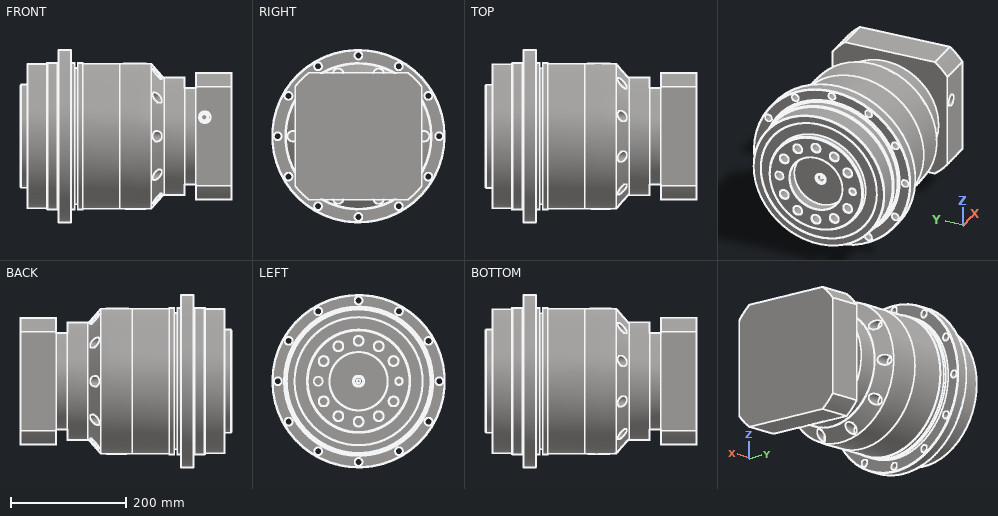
import cadquery as cq
import math

LENGTH = 367.0

OUTPUT_RADIUS = 90.0
OUTPUT_REAR_X = 44.0
OUTPUT_CHAMFER = 2.0
PILOT_RADIUS = 50.3
PILOT_DEPTH = 19.5
PILOT_CHAMFER = 0.7
BOLT_CIRCLE_RADIUS = 70.0
BOLT_COUNT = 12
BOLT_HOLE_RADIUS = 8.0
BOLT_HOLE_DEPTH = 25.7
BOLT_HOLE_CHAMFER = 0.7
PLAIN_HOLE_RADIUS = 7.7
DOWEL_HOLE_RADIUS = 6.0
CENTRE_MOUTH_RADIUS = 10.0
CENTRE_CONE_RADIUS = 7.5
CENTRE_MOUTH_HALF_ANGLE = math.radians(60)
CENTRE_CONE_HALF_ANGLE = math.radians(30)
CENTRE_DRILL_RADIUS = 3.3
CENTRE_DRILL_DEPTH = 7.5

SEAL_RADIUS = 111.0
SEAL_THICKNESS = 11.0
SEAL_SEAT_CHAMFER = 0.7

HOUSING_FRONT_X = 11.7
HOUSING_REAR_X = 173.0
PILOT_BAND_RADIUS = 125.5
HOUSING_RADIUS = 126.2
HOUSING_CHAMFER = 1.0
LAND_RADIUS = 127.5
LAND_REAR_X = 108.3
FLANGE_RADIUS = 150.0
FLANGE_FRONT_X = 65.7
FLANGE_REAR_X = 88.5
FLANGE_CHAMFER = 1.0
RELIEF_RADIUS = 130.0
RELIEF_FRONT_X = 64.0
RELIEF_DEPTH = 0.7
GROOVE_RADIUS = 118.5
GROOVE_FRONT_X = 94.5
GROOVE_REAR_X = 99.5
FLANGE_HOLE_CIRCLE_RADIUS = 140.2
FLANGE_HOLE_RADIUS = 6.5
FLANGE_HOLE_COUNT = 12

RING_FRONT_X = 45.5
RING_REAR_X = 47.7
RING_INNER_RADIUS = 121.0

CONE_FRONT_X = 227.0
CONE_REAR_X = 249.5
CONE_FRONT_RADIUS = 126.0
CONE_REAR_RADIUS = 100.5
BARREL_BULGE = 0.7
POCKET_COUNT = 10
POCKET_RADIUS = 9.0
POCKET_X = 237.8
POCKET_FLOOR_X = 220.2

COLLAR_RADIUS = 102.5
COLLAR_REAR_X = 285.0
COLLAR_CHAMFER = 0.7
NECK_RADIUS = 84.0
PLATE_FRONT_X = 305.0
PLATE_WIDTH = 220.2
PLATE_CORNER_RADIUS = 140.0
ACCESS_X = 320.5
ACCESS_Z = 33.0
ACCESS_RADIUS = 10.3
ACCESS_DEPTH = 29.5

SCREW_X = 319.3
SCREW_RADIUS = 8.0
SCREW_LENGTH = 22.0
SOCKET_RADIUS = 5.0
SOCKET_DEPTH = 7.5
SOCKET_CHAMFER = 0.7


def revolve_about_x(outline):
    """Revolve a closed outline, drawn with X along the axis and Y as radius."""
    return outline.close().revolve(360, (0, 0, 0), (1, 0, 0))


def revolve_points(points):
    return revolve_about_x(cq.Workplane("XY").polyline(points))


def cylinder_along_x(front_x, rear_x, radius, y=0.0, z=0.0):
    axis = cq.Vector(1, 0, 0)
    return cq.Workplane(cq.Solid.makeCylinder(radius, rear_x - front_x, cq.Vector(front_x, y, z), axis))


def cylinder_along_y(front_y, rear_y, radius, x, z):
    axis = cq.Vector(0, 1, 0)
    return cq.Workplane(cq.Solid.makeCylinder(radius, rear_y - front_y, cq.Vector(x, front_y, z), axis))


def on_circle(radius, count):
    """Evenly spaced (y, z) places, the first one at +Y."""
    angles = [2 * math.pi * index / count for index in range(count)]
    return [(radius * math.cos(angle), radius * math.sin(angle)) for angle in angles]


def chamfered_bore(front_x, depth, radius, chamfer, y=0.0, z=0.0):
    """Cutter for a bore along X whose mouth at front_x is widened by a 45 degree chamfer."""
    mouth = cq.Solid.makeCone(radius + chamfer, radius, chamfer, cq.Vector(front_x, y, z), cq.Vector(1, 0, 0))
    return cylinder_along_x(front_x, front_x + depth, radius, y, z).union(cq.Workplane(mouth))


def output_face_holes():
    """Threaded holes around the output face, with a plain hole at +Y and a smaller dowel hole at -Y."""
    plain_place, *places = on_circle(BOLT_CIRCLE_RADIUS, BOLT_COUNT)
    dowel_index = BOLT_COUNT // 2 - 1
    holes = [cylinder_along_x(0, BOLT_HOLE_DEPTH, PLAIN_HOLE_RADIUS, *plain_place)]
    for index, (y, z) in enumerate(places):
        radius = DOWEL_HOLE_RADIUS if index == dowel_index else BOLT_HOLE_RADIUS
        holes.append(chamfered_bore(0, BOLT_HOLE_DEPTH, radius, BOLT_HOLE_CHAMFER, y, z))
    return holes


def centre_hole():
    """Countersunk 60 degree centre with a 120 degree protective mouth and a pilot drill."""
    mouth_end = PILOT_DEPTH + (CENTRE_MOUTH_RADIUS - CENTRE_CONE_RADIUS) / math.tan(CENTRE_MOUTH_HALF_ANGLE)
    cone_end = mouth_end + (CENTRE_CONE_RADIUS - CENTRE_DRILL_RADIUS) / math.tan(CENTRE_CONE_HALF_ANGLE)
    drill_end = cone_end + CENTRE_DRILL_DEPTH
    return revolve_points(
        [
            (PILOT_DEPTH, 0),
            (PILOT_DEPTH, CENTRE_MOUTH_RADIUS),
            (mouth_end, CENTRE_CONE_RADIUS),
            (cone_end, CENTRE_DRILL_RADIUS),
            (drill_end, CENTRE_DRILL_RADIUS),
            (drill_end, 0),
        ]
    )


def make_output_flange():
    flange = cylinder_along_x(0, OUTPUT_REAR_X, OUTPUT_RADIUS).faces("<X").chamfer(OUTPUT_CHAMFER)
    flange = flange.cut(chamfered_bore(0, PILOT_DEPTH, PILOT_RADIUS, PILOT_CHAMFER)).cut(centre_hole())
    for hole in output_face_holes():
        flange = flange.cut(hole)
    return flange


def make_seal():
    rear_x = HOUSING_FRONT_X + SEAL_THICKNESS
    seal = cylinder_along_x(HOUSING_FRONT_X, rear_x, SEAL_RADIUS)
    return seal.cut(cylinder_along_x(HOUSING_FRONT_X, rear_x, OUTPUT_RADIUS))


def make_front_housing():
    relief_radius = LAND_RADIUS - RELIEF_DEPTH
    relief_rear_x = FLANGE_FRONT_X + RELIEF_DEPTH
    housing = revolve_points(
        [
            (HOUSING_FRONT_X, 0),
            (HOUSING_FRONT_X, PILOT_BAND_RADIUS - HOUSING_CHAMFER),
            (HOUSING_FRONT_X + HOUSING_CHAMFER, PILOT_BAND_RADIUS),
            (RING_FRONT_X, PILOT_BAND_RADIUS),
            (RING_FRONT_X, RING_INNER_RADIUS),
            (RING_REAR_X, RING_INNER_RADIUS),
            (RING_REAR_X, LAND_RADIUS),
            (RELIEF_FRONT_X, LAND_RADIUS),
            (RELIEF_FRONT_X, relief_radius),
            (relief_rear_x, relief_radius),
            (relief_rear_x, RELIEF_RADIUS),
            (FLANGE_FRONT_X, RELIEF_RADIUS),
            (FLANGE_FRONT_X, FLANGE_RADIUS - FLANGE_CHAMFER),
            (FLANGE_FRONT_X + FLANGE_CHAMFER, FLANGE_RADIUS),
            (FLANGE_REAR_X - FLANGE_CHAMFER, FLANGE_RADIUS),
            (FLANGE_REAR_X, FLANGE_RADIUS - FLANGE_CHAMFER),
            (FLANGE_REAR_X, LAND_RADIUS),
            (GROOVE_FRONT_X, LAND_RADIUS),
            (GROOVE_FRONT_X, GROOVE_RADIUS),
            (GROOVE_REAR_X, GROOVE_RADIUS),
            (GROOVE_REAR_X, LAND_RADIUS),
            (LAND_REAR_X, LAND_RADIUS),
            (LAND_REAR_X, HOUSING_RADIUS),
            (HOUSING_REAR_X, HOUSING_RADIUS),
            (HOUSING_REAR_X, 0),
        ]
    )
    seal_seat = chamfered_bore(HOUSING_FRONT_X, SEAL_THICKNESS, SEAL_RADIUS, SEAL_SEAT_CHAMFER)
    output_seat = cylinder_along_x(HOUSING_FRONT_X, OUTPUT_REAR_X, OUTPUT_RADIUS)
    housing = housing.cut(seal_seat).cut(output_seat)
    for y, z in on_circle(FLANGE_HOLE_CIRCLE_RADIUS, FLANGE_HOLE_COUNT):
        housing = housing.cut(cylinder_along_x(FLANGE_FRONT_X, FLANGE_REAR_X, FLANGE_HOLE_RADIUS, y, z))
    return housing


def make_o_ring():
    ring = cylinder_along_x(RING_FRONT_X, RING_REAR_X, LAND_RADIUS)
    return ring.cut(cylinder_along_x(RING_FRONT_X, RING_REAR_X, RING_INNER_RADIUS))


def make_rear_housing():
    barrel_middle = ((HOUSING_REAR_X + CONE_FRONT_X) / 2, HOUSING_RADIUS + BARREL_BULGE)
    outline = (
        cq.Workplane("XY")
        .moveTo(HOUSING_REAR_X, 0)
        .lineTo(HOUSING_REAR_X, HOUSING_RADIUS)
        .threePointArc(barrel_middle, (CONE_FRONT_X, CONE_FRONT_RADIUS))
        .lineTo(CONE_REAR_X, CONE_REAR_RADIUS)
        .lineTo(CONE_REAR_X, 0)
    )
    housing = revolve_about_x(outline)
    cone_slope = (CONE_REAR_RADIUS - CONE_FRONT_RADIUS) / (CONE_REAR_X - CONE_FRONT_X)
    pocket_circle_radius = CONE_FRONT_RADIUS + cone_slope * (POCKET_X - CONE_FRONT_X)
    for y, z in on_circle(pocket_circle_radius, POCKET_COUNT):
        housing = housing.cut(cylinder_along_x(POCKET_FLOOR_X, CONE_REAR_X, POCKET_RADIUS, y, z))
    return housing


def make_motor_adapter():
    plate = cq.Workplane("YZ", origin=(PLATE_FRONT_X, 0, 0))
    plate = plate.rect(PLATE_WIDTH, PLATE_WIDTH).extrude(LENGTH - PLATE_FRONT_X)
    plate = plate.intersect(cylinder_along_x(PLATE_FRONT_X, LENGTH, PLATE_CORNER_RADIUS))
    collar = cylinder_along_x(CONE_REAR_X, COLLAR_REAR_X, COLLAR_RADIUS).faces("<X").chamfer(COLLAR_CHAMFER)
    neck = cylinder_along_x(COLLAR_REAR_X, PLATE_FRONT_X, NECK_RADIUS)
    adapter = collar.union(neck).union(plate)
    mouth_y = -PLATE_WIDTH / 2
    head_y = mouth_y + ACCESS_DEPTH
    adapter = adapter.cut(cylinder_along_y(mouth_y, head_y, ACCESS_RADIUS, ACCESS_X, ACCESS_Z))
    return adapter.cut(cylinder_along_y(head_y, head_y + SCREW_LENGTH, SCREW_RADIUS, SCREW_X, ACCESS_Z))


def make_clamp_screw():
    head_y = ACCESS_DEPTH - PLATE_WIDTH / 2
    screw = cylinder_along_y(head_y, head_y + SCREW_LENGTH, SCREW_RADIUS, SCREW_X, ACCESS_Z)
    screw = screw.cut(cylinder_along_y(head_y, head_y + SOCKET_DEPTH, SOCKET_RADIUS, SCREW_X, ACCESS_Z))
    return screw.edges(cq.selectors.RadiusNthSelector(0)).edges("<Y").chamfer(SOCKET_CHAMFER)


output_flange = make_output_flange()
seal = make_seal()
front_housing = make_front_housing()
o_ring = make_o_ring()
rear_housing = make_rear_housing()
motor_adapter = make_motor_adapter()
clamp_screw = make_clamp_screw()

result = cq.Compound.makeCompound(
    [
        output_flange.val(),
        seal.val(),
        front_housing.val(),
        o_ring.val(),
        rear_housing.val(),
        motor_adapter.val(),
        clamp_screw.val(),
    ]
)